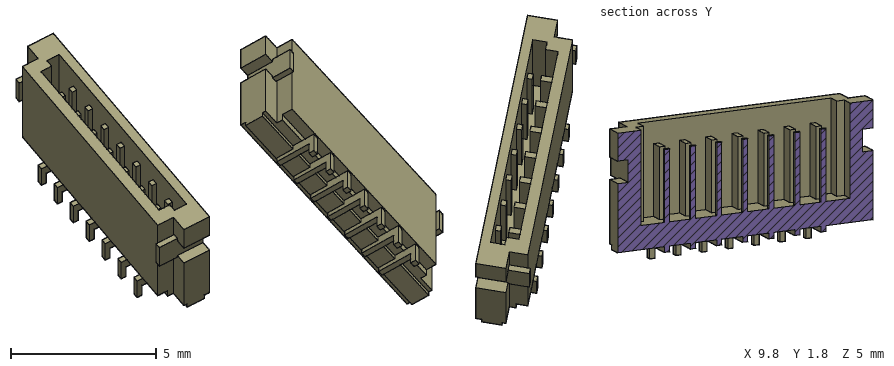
import cadquery as cq

width = 9.8
depth = 1.8
height = 5.0

body_depth = 1.71
flange_depth = 1.06
flange_width = 0.66
housing_height = 4.11
front_undercut_height = 0.29

keel_height = 0.18
keel_back = 0.21
keel_front = 0.92

pocket_end_wall = 0.9
pocket_key_step = 0.29
back_wall = 0.35
pocket_step_depth = 0.85
front_wall = 0.41
floor_thickness = front_wall

contact_count = 7
pitch = 1.0
metal_thickness = 0.21
lead_back = 0.24
lead_height = 0.38
prong_top_drop = 0.8
back_prong_thickness = 0.19
prong_gap = 0.28

notch_depth = 0.4
notch_height = 0.79
notch_top_drop = 1.01
clip_height = 1.01
clip_top_drop = 0.88

half_width = width / 2
housing_bottom = height - housing_height
undercut_top = housing_bottom + front_undercut_height
pocket_front = body_depth - front_wall
pocket_floor = undercut_top + floor_thickness


def block(x_range, depth_range, z_range):
    """Box between two X places, two distances forward of the back face, and two heights."""
    x_min, x_max = x_range
    back, front = depth_range
    z_min, z_max = z_range
    size = (x_max - x_min, front - back, z_max - z_min)
    return cq.Workplane("XY").box(*size, centered=False).translate((x_min, -front, z_min))


def centred_block(block_width, depth_range, z_range, x_centre=0.0):
    """Block placed symmetrically about x_centre."""
    half = block_width / 2
    return block((x_centre - half, x_centre + half), depth_range, z_range)


def make_housing():
    """Shell with side flanges, a stepped pocket, an undercut front wall and a keel."""
    full_z = (housing_bottom, height)
    pocket_z = (pocket_floor, height)
    pocket_width = width - 2 * pocket_end_wall

    flanges = centred_block(width, (0, flange_depth), full_z)
    body = centred_block(width - 2 * flange_width, (0, body_depth), full_z)
    undercut = centred_block(width, (pocket_front, body_depth), (housing_bottom, undercut_top))
    keel = centred_block(width, (keel_back, keel_front), (housing_bottom - keel_height, housing_bottom))
    wide_pocket = centred_block(pocket_width, (back_wall, pocket_step_depth), pocket_z)
    narrow_pocket = centred_block(pocket_width - 2 * pocket_key_step, (back_wall, pocket_front), pocket_z)

    shell = flanges.union(body).union(keel)
    return shell.cut(undercut).cut(wide_pocket).cut(narrow_pocket)


def make_notch():
    """Cutter for the left flange, open to the back, front and outer side."""
    notch_top = height - notch_top_drop
    return block(
        (-half_width, -half_width + notch_depth),
        (0, flange_depth),
        (notch_top - notch_height, notch_top),
    )


def make_clip():
    """Metal tab projecting forward from the left flange."""
    clip_top = height - clip_top_drop
    clip_outer = -half_width + notch_depth
    return block(
        (clip_outer, clip_outer + metal_thickness),
        (flange_depth, depth),
        (clip_top - clip_height, clip_top),
    )


def make_contact(x_centre):
    """One contact: two prongs inside the pocket and an L-shaped lead under the housing."""
    prong_z = (pocket_floor, height - prong_top_drop)
    back_prong_front = back_wall + back_prong_thickness
    lead_z = (housing_bottom - lead_height, housing_bottom)

    back_prong = centred_block(metal_thickness, (back_wall, back_prong_front), prong_z, x_centre)
    front_prong = centred_block(
        metal_thickness, (back_prong_front + prong_gap, pocket_front), prong_z, x_centre
    )
    lead_arm = centred_block(metal_thickness, (lead_back, depth), lead_z, x_centre)
    lead_leg = centred_block(metal_thickness, (depth - metal_thickness, depth), (0, housing_bottom), x_centre)
    return back_prong.union(front_prong).union(lead_arm).union(lead_leg)


result = make_housing()

notch = make_notch()
clip = make_clip()
result = result.cut(notch).cut(notch.mirror("YZ"))
result = result.union(clip).union(clip.mirror("YZ"))

for index in range(contact_count):
    contact_x = (index - (contact_count - 1) / 2) * pitch
    result = result.union(make_contact(contact_x))